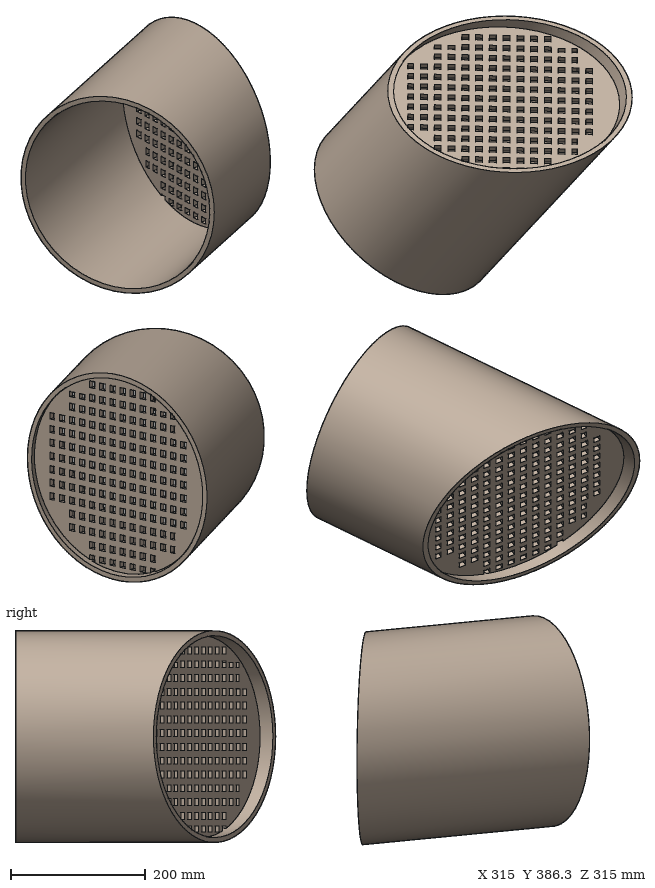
import cadquery as cq
import math

OUTER_DIAMETER = 315.0
BORE_DIAMETER = 299.8
LONG_SIDE = 386.3
SLANT_ANGLE = 30.0

PLATE_THICKNESS = 7.7
PLATE_RECESS = 19.0

CELLS_PER_SIDE = 14
HOLE_PITCH = 20.5
HOLE_SIZE = HOLE_PITCH / 2
HOLE_SHIFT = (HOLE_PITCH - HOLE_SIZE) / 2

LONG_REACH = 141.8
DIAGONAL_REACH = 110.0
SHORT_REACH = 71.0
PERFORATED_AREAS = [
    (LONG_REACH, SHORT_REACH),
    (DIAGONAL_REACH, DIAGONAL_REACH),
    (SHORT_REACH, LONG_REACH),
]

OUTER_RADIUS = OUTER_DIAMETER / 2
SLANT_RISE = math.tan(math.radians(SLANT_ANGLE))
MIDDLE_LENGTH = LONG_SIDE - OUTER_RADIUS * SLANT_RISE
PLATE_BACK = MIDDLE_LENGTH - PLATE_RECESS
SLAB_SIZE = 2 * LONG_SIDE


def slant_plane(axis_point):
    """Slanted plane crossing the tube axis at y = axis_point.

    Local x runs down the slant, local y is +Z and the normal points into the tube.
    """
    slant = math.radians(SLANT_ANGLE)
    return cq.Plane(
        origin=(0, axis_point, 0),
        xDir=(math.cos(slant), -math.sin(slant), 0),
        normal=(-math.sin(slant), -math.cos(slant), 0),
    )


def round_bar(diameter):
    """Full-length cylinder on the tube axis."""
    return cq.Workplane("XZ").circle(diameter / 2).extrude(-LONG_SIDE)


def slanted_slab(axis_point, thickness):
    """Wide slab reaching from a slanted plane toward the front."""
    return cq.Workplane(slant_plane(axis_point)).rect(SLAB_SIZE, SLAB_SIZE).extrude(thickness)


def make_tube():
    """Open tube, square at the front and slanted at the back."""
    tube = round_bar(OUTER_DIAMETER).cut(round_bar(BORE_DIAMETER))
    return tube.intersect(slanted_slab(MIDDLE_LENGTH, SLAB_SIZE))


def make_perforation():
    """Hole prisms through the plate, trimmed to the stepped perforated area."""
    plane = slant_plane(PLATE_BACK)
    area = cq.Workplane(plane)
    for half_width, half_height in PERFORATED_AREAS:
        area = area.union(
            cq.Workplane(plane).rect(2 * half_width, 2 * half_height).extrude(PLATE_THICKNESS)
        )
    holes = (
        cq.Workplane(plane)
        .center(HOLE_SHIFT, -HOLE_SHIFT)
        .rarray(HOLE_PITCH, HOLE_PITCH, CELLS_PER_SIDE, CELLS_PER_SIDE)
        .rect(HOLE_SIZE, HOLE_SIZE)
        .extrude(PLATE_THICKNESS)
    )
    return holes.intersect(area)


def make_plate():
    """Elliptical perforated plate that fits the bore."""
    plate = round_bar(BORE_DIAMETER).intersect(slanted_slab(PLATE_BACK, PLATE_THICKNESS))
    return plate.cut(make_perforation())


tube = make_tube()
plate = make_plate()

result = cq.Compound.makeCompound([tube.solids().val(), plate.solids().val()])